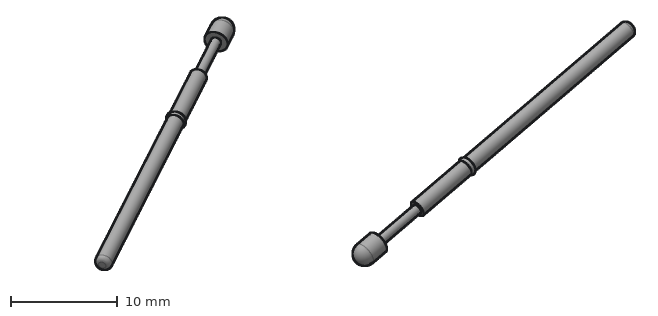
import cadquery as cq

total_length = 37.3
head_diameter = 2.3
head_length = 3.0
plunger_diameter = 1.0
barrel_diameter = 1.67
barrel_length = 29.0
tail_fillet = 0.47

ring_diameter = 1.95
ring_width = 0.5
ring_from_barrel_mouth = 6.77

head_radius = head_diameter / 2
barrel_radius = barrel_diameter / 2

tail_end = -total_length / 2
head_tip = total_length / 2
head_base = head_tip - head_length
barrel_mouth = tail_end + barrel_length
ring_centre = barrel_mouth - ring_from_barrel_mouth


def rod(diameter, start, end):
    """Solid cylinder along Y from start to end."""
    return cq.Workplane("XZ", origin=(0, end, 0)).circle(diameter / 2).extrude(end - start)


def make_barrel():
    """Tube body with its tail edge rounded over."""
    return rod(barrel_diameter, tail_end, barrel_mouth).faces("<Y").edges().fillet(tail_fillet)


def make_ring():
    """Press ring whose outer face is a single arc across its width."""
    half_width = ring_width / 2
    return (
        cq.Workplane("XY")
        .moveTo(0, ring_centre - half_width)
        .lineTo(barrel_radius, ring_centre - half_width)
        .threePointArc((ring_diameter / 2, ring_centre), (barrel_radius, ring_centre + half_width))
        .lineTo(0, ring_centre + half_width)
        .close()
        .revolve(360, (0, 0), (0, 1))
    )


def make_head():
    """Cylindrical head ending in a hemisphere."""
    dome_base = head_tip - head_radius
    dome = cq.Workplane("XY", origin=(0, dome_base, 0)).sphere(head_radius)
    return rod(head_diameter, head_base, dome_base).union(dome)


plunger = rod(plunger_diameter, barrel_mouth, head_base)
result = make_barrel().union(make_ring()).union(plunger).union(make_head())